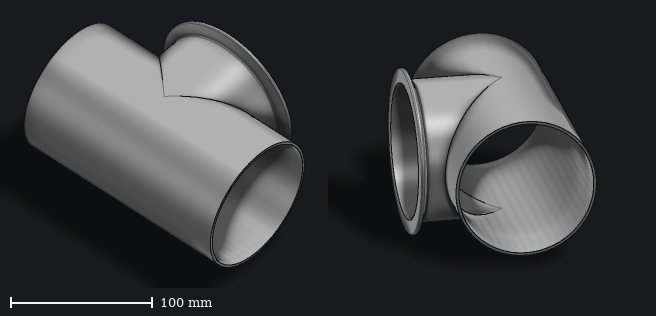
import cadquery as cq
import math


run_length = 174.6
pipe_diameter = 101.6
bore_diameter = 97.5
branch_reach = 69.8

flange_diameter = 119.0
flange_depth = 6.1
taper_angle = 20.0
rim_round = 0.9
root_fillet = 1.4
edge_tolerance = 0.02

pipe_radius = pipe_diameter / 2
flange_radius = flange_diameter / 2
taper_depth = (flange_radius - pipe_radius) * math.tan(math.radians(taper_angle))
taper_root_y = branch_reach - flange_depth
rim_back_y = taper_root_y + taper_depth


def run_cylinder(diameter):
    """Solid cylinder along X, centred on the origin."""
    return cq.Workplane("YZ").circle(diameter / 2).extrude(run_length / 2, both=True)


def branch_cylinder(diameter):
    """Solid cylinder along +Y from the run axis to the ferrule face."""
    return cq.Workplane("XZ").circle(diameter / 2).extrude(-branch_reach)


def branch_with_ferrule():
    """Branch neck and tapered clamp flange as one revolved solid, not yet bored."""
    blank = (
        cq.Workplane("XY")
        .moveTo(0, 0)
        .lineTo(pipe_radius, 0)
        .lineTo(pipe_radius, taper_root_y)
        .lineTo(flange_radius, rim_back_y)
        .lineTo(flange_radius, branch_reach)
        .lineTo(0, branch_reach)
        .close()
        .revolve(360, (0, 0, 0), (0, 1, 0))
    )
    circles = blank.edges("%CIRCLE")
    rim_edges = circles.filter(lambda edge: edge.radius() > (pipe_radius + flange_radius) / 2)
    blank = blank.newObject(rim_edges.vals()).fillet(rim_round)

    def is_taper_root(edge):
        return abs(edge.Center().y - taper_root_y) < edge_tolerance

    root_edges = blank.edges("%CIRCLE").filter(is_taper_root)
    return blank.newObject(root_edges.vals()).fillet(root_fillet)


outside = run_cylinder(pipe_diameter).union(branch_with_ferrule())
bores = run_cylinder(bore_diameter).union(branch_cylinder(bore_diameter))
result = outside.cut(bores)